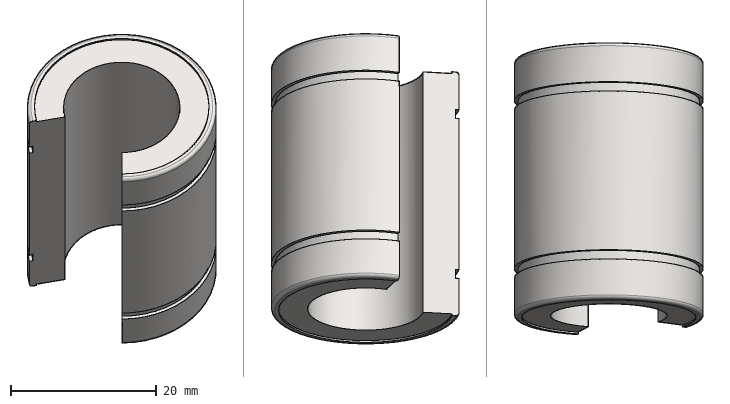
import cadquery as cq
import math

LENGTH = 36.0
OUTER_RADIUS = 13.0
BORE_RADIUS = 8.0
OPENING_ANGLE = 78.0

GROOVE_RADIUS = 12.5
GROOVE_WIDTH = 1.3
GROOVE_SPAN = 24.9

RIM_INNER_RADIUS = 12.0
RIM_FILLET = 0.5
FACE_RECESS = 0.25

CUT_CLEARANCE = 1.0


def ring(outer_radius, inner_radius, bottom, height):
    """Ring around Z that starts at height `bottom`."""
    return (
        cq.Workplane("XY")
        .workplane(offset=bottom)
        .circle(outer_radius)
        .circle(inner_radius)
        .extrude(height)
    )


def sleeve():
    """Plain tube with both outer end edges rounded."""
    solid = cq.Workplane("XY").circle(OUTER_RADIUS).extrude(LENGTH / 2, both=True)
    solid = solid.faces("<Z or >Z").edges().fillet(RIM_FILLET)
    bore = cq.Workplane("XY").circle(BORE_RADIUS).extrude(LENGTH, both=True)
    return solid.cut(bore)


def ring_groove(bottom):
    """Cutter for one retaining-ring groove."""
    return ring(OUTER_RADIUS + CUT_CLEARANCE, GROOVE_RADIUS, bottom, GROOVE_WIDTH)


def end_recess(bottom):
    """Cutter that sinks an end face inside the rim."""
    return cq.Workplane("XY").workplane(offset=bottom).circle(RIM_INNER_RADIUS).extrude(FACE_RECESS)


def opening():
    """Wedge with its tip on the axis, widening toward -Y."""
    reach = OUTER_RADIUS + CUT_CLEARANCE
    half_width = reach * math.tan(math.radians(OPENING_ANGLE / 2))
    return (
        cq.Workplane("XY")
        .polyline([(0, 0), (-half_width, -reach), (half_width, -reach)])
        .close()
        .extrude(LENGTH, both=True)
    )


result = sleeve()

for groove_bottom in (-GROOVE_SPAN / 2, GROOVE_SPAN / 2 - GROOVE_WIDTH):
    result = result.cut(ring_groove(groove_bottom))

for recess_bottom in (-LENGTH / 2, LENGTH / 2 - FACE_RECESS):
    result = result.cut(end_recess(recess_bottom))

result = result.cut(opening())